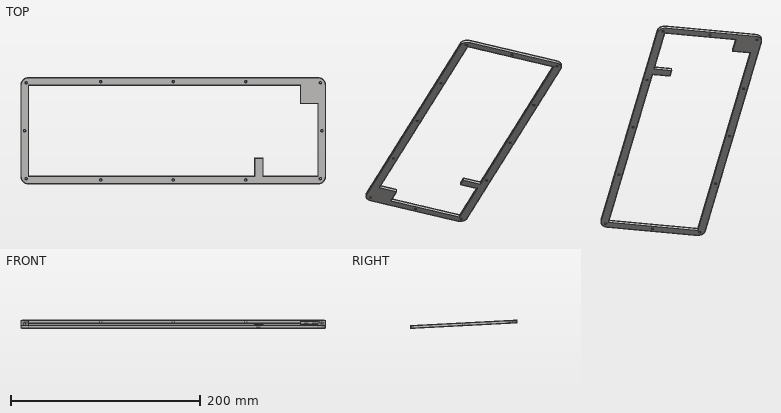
import cadquery as cq

length = 322.0
depth = 112.3
thickness = 3.0
tilt_angle = 3.0
rim_width = 8.0
corner_radius = 8.0

pad_length = 18.7
pad_depth = 19.3
tab_center_x = 90.5
tab_width = 9.0
tab_reach = 19.0

hole_diameter = 2.2
corner_hole_inset = 5.5
end_hole_inset = 4.0
side_hole_inset = 4.2
side_hole_spacing = 76.5

opening_length = length - 2 * rim_width
opening_depth = depth - 2 * rim_width


def block(size_x, size_y, center_x, center_y):
    """Flat block of frame thickness, centered on the mid-plane."""
    return cq.Workplane("XY").box(size_x, size_y, thickness).translate((center_x, center_y, 0))


def rim():
    outer = block(length, depth, 0, 0).edges("|Z").fillet(corner_radius)
    return outer.cut(block(opening_length, opening_depth, 0, 0))


def corner_pad():
    overlap = rim_width / 2
    size_x = pad_length + overlap
    size_y = pad_depth + overlap
    center_x = opening_length / 2 - pad_length + size_x / 2
    center_y = opening_depth / 2 - pad_depth + size_y / 2
    return block(size_x, size_y, center_x, center_y)


def tab():
    overlap = rim_width / 2
    size_y = tab_reach + overlap
    center_y = -opening_depth / 2 + tab_reach - size_y / 2
    return block(tab_width, size_y, tab_center_x, center_y)


def hole_centers():
    corner_x = length / 2 - corner_hole_inset
    corner_y = depth / 2 - corner_hole_inset
    end_x = length / 2 - end_hole_inset
    side_y = depth / 2 - side_hole_inset
    centers = []
    for side in (-1, 1):
        centers.append((side * end_x, 0))
        for end in (-1, 1):
            centers.append((end * corner_x, side * corner_y))
        for step in (-1, 0, 1):
            centers.append((step * side_hole_spacing, side * side_y))
    return centers


def holes():
    pins = cq.Workplane("XY").pushPoints(hole_centers())
    return pins.circle(hole_diameter / 2).extrude(thickness, both=True)


flat_frame = rim().union(corner_pad()).union(tab()).cut(holes())
result = flat_frame.rotate((0, 0, 0), (1, 0, 0), tilt_angle)